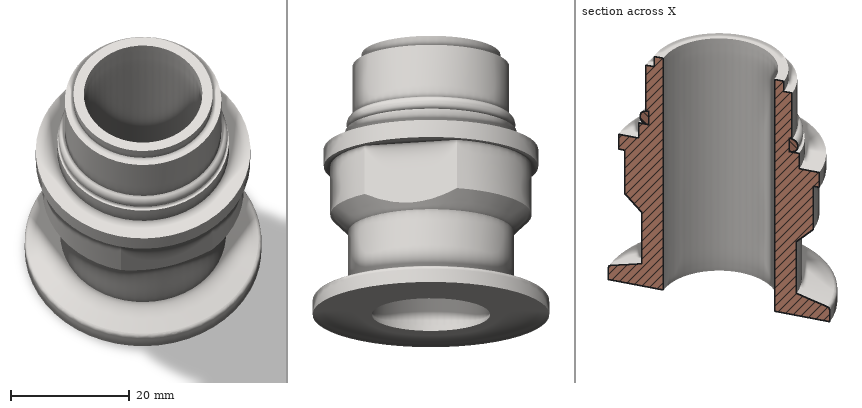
import cadquery as cq

flange_diameter = 40.0
neck_diameter = 28.0
wrench_diameter = 34.0
collar_diameter = 36.25
shoulder_diameter = 29.0
groove_diameter = 25.4
sleeve_diameter = 26.45
tip_diameter = 23.5
bore_diameter = 20.0

total_height = 45.6
flange_rim_height = 2.85
flange_height = 4.42
wrench_bottom = 14.5
collar_bottom = 26.0
collar_height = 3.0
shoulder_height = 3.0
tip_height = 2.0

flange_rim_fillet = 0.7
wrench_across_flats = 30.0

ring_diameter = 28.5
ring_fillet = 1.15
ring_band_height = 0.25
ring_height = 2 * ring_fillet + ring_band_height

collar_top = collar_bottom + collar_height
groove_bottom = collar_top + shoulder_height
groove_top = groove_bottom + ring_height
tip_bottom = total_height - tip_height


def disc(diameter, bottom, top):
    """Solid cylinder on the Z axis between two heights."""
    return cq.Workplane("XY").workplane(offset=bottom).circle(diameter / 2).extrude(top - bottom)


def make_flange():
    """Clamping flange with a conical upper face and a rounded rim."""
    flange = (
        cq.Workplane("XZ")
        .lineTo(flange_diameter / 2, 0)
        .lineTo(flange_diameter / 2, flange_rim_height)
        .lineTo(neck_diameter / 2, flange_height)
        .lineTo(0, flange_height)
        .close()
        .revolve(360, (0, 0, 0), (0, 1, 0))
    )
    return flange.edges("%CIRCLE exc (<Z or >Z)").fillet(flange_rim_fillet)


def make_wrench_section():
    """Round section, bevelled down to the neck, with two flats facing +X and -X."""
    bevel = (wrench_diameter - neck_diameter) / 2
    section = disc(wrench_diameter, wrench_bottom, collar_bottom).faces("<Z").chamfer(bevel)
    between_flats = cq.Workplane("XY").box(
        wrench_across_flats, wrench_diameter, total_height, centered=(True, True, False)
    )
    return section.intersect(between_flats)


def make_housing():
    """Flanged tube with a groove for the sealing ring and a through bore."""
    return (
        make_flange()
        .union(disc(neck_diameter, flange_height, wrench_bottom))
        .union(make_wrench_section())
        .union(disc(collar_diameter, collar_bottom, collar_top))
        .union(disc(shoulder_diameter, collar_top, groove_bottom))
        .union(disc(groove_diameter, groove_bottom, groove_top))
        .union(disc(sleeve_diameter, groove_top, tip_bottom))
        .union(disc(tip_diameter, tip_bottom, total_height))
        .cut(disc(bore_diameter, 0, total_height))
    )


def make_sealing_ring():
    """Ring seated in the groove, with its outer edges rounded."""
    ring = disc(ring_diameter, groove_bottom, groove_top).edges().fillet(ring_fillet)
    return ring.cut(disc(groove_diameter, groove_bottom, groove_top))


housing = make_housing()
sealing_ring = make_sealing_ring()

result = cq.Compound.makeCompound([housing.val(), sealing_ring.val()])